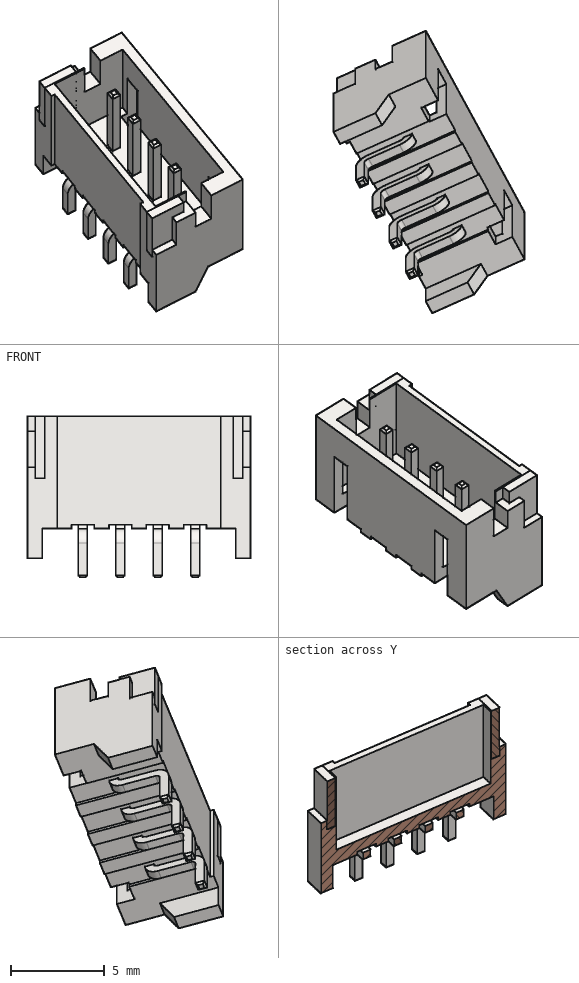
import cadquery as cq


width = 11.9
depth = 5.5
height = 6.0

side_wall = 1.0
end_wall = 0.6
floor_thickness = side_wall

foot_width = 0.8
foot_drop = 1.6
foot_bottom_depth = 2.5
foot_top_depth = 3.3

recess_inset = 1.6
recess_depth = 0.2

notch_front = 2.5
notch_length = 1.0
notch_depth = 2.0

window_inset = 1.48
window_width = 1.0
window_reach = 0.4
window_top = height - notch_depth

plate_inset = 0.4
plate_thickness = 0.52
plate_depth = 2.0
plate_height = 3.32

rim_drop = 0.8
relief_depth = 1.29
relief_drop = 2.71

pin_count = 4
pin_pitch = 2.0
pin_size = 0.5
pin_center_y = 3.09
pin_tip_gap = 0.4
pin_tail_drop = 2.61
pin_chamfer = 0.12
bend_inner_radius = 0.25
bend_outer_radius = bend_inner_radius + pin_size

groove_width = 1.2
groove_height = 0.2

side_signs = (-1, 1)
pin_positions = [(i - (pin_count - 1) / 2) * pin_pitch for i in range(pin_count)]


def box(x_min, x_max, y_min, y_max, z_min, z_max):
    """Axis-aligned block between the given limits."""
    size = (x_max - x_min, y_max - y_min, z_max - z_min)
    return cq.Workplane("XY").box(*size, centered=False).translate((x_min, y_min, z_min))


def side_box(side, inset, thickness, y_min, y_max, z_min, z_max):
    """Block at one end of the housing, starting a given inset from its outer face."""
    outer_x = side * (width / 2 - inset)
    inner_x = outer_x - side * thickness
    return box(min(outer_x, inner_x), max(outer_x, inner_x), y_min, y_max, z_min, z_max)


def make_foot(side):
    """Foot with a sloped rear edge, flush with one end of the housing."""
    profile = [
        (0, 0),
        (0, -foot_drop),
        (foot_bottom_depth, -foot_drop),
        (foot_top_depth, 0),
    ]
    foot_center_x = side * (width - foot_width) / 2
    foot = cq.Workplane("YZ").polyline(profile).close().extrude(foot_width / 2, both=True)
    return foot.translate((foot_center_x, 0, 0))


def make_plate(side):
    """Plain rectangular retainer plate at one end of the housing."""
    return side_box(side, plate_inset, plate_thickness, 0, plate_depth, height - plate_height, height)


def cut_side_details(housing, side):
    """Cut the rim notch, the plate slot with its relief and the window at one end."""
    notch_back = notch_front + notch_length
    plate_inner = plate_inset + plate_thickness
    window_front = depth - end_wall - window_reach
    housing = housing.cut(side_box(side, 0, side_wall, notch_front, notch_back, height - notch_depth, height))
    housing = housing.cut(side_box(side, 0, plate_inner, 0, notch_front, height - rim_drop, height))
    housing = housing.cut(side_box(side, 0, plate_inset, 0, relief_depth, height - relief_drop, height))
    housing = housing.cut(make_plate(side))
    return housing.cut(side_box(side, window_inset, window_width, window_front, depth, 0, window_top))


def make_pin(x):
    """Square wire: upright contact, bend to the front, bend down into the tail."""
    contact_front = pin_center_y - pin_size / 2
    contact_back = pin_center_y + pin_size / 2
    tip_z = height - pin_tip_gap
    run_top = 0
    run_bottom = run_top - pin_size
    profile = (
        cq.Workplane("YZ")
        .moveTo(0, -pin_tail_drop)
        .lineTo(0, run_top - bend_outer_radius)
        .radiusArc((bend_outer_radius, run_top), bend_outer_radius)
        .lineTo(contact_front - bend_inner_radius, run_top)
        .radiusArc((contact_front, run_top + bend_inner_radius), -bend_inner_radius)
        .lineTo(contact_front, tip_z)
        .lineTo(contact_back, tip_z)
        .lineTo(contact_back, run_bottom + bend_outer_radius)
        .radiusArc((contact_back - bend_outer_radius, run_bottom), bend_outer_radius)
        .lineTo(bend_outer_radius, run_bottom)
        .radiusArc((pin_size, run_bottom - bend_inner_radius), -bend_inner_radius)
        .lineTo(pin_size, -pin_tail_drop)
        .close()
    )
    pin = profile.extrude(pin_size / 2, both=True)
    pin = pin.faces(">Z or <Z").chamfer(pin_chamfer)
    return pin.translate((x, 0, 0))


def make_housing(pins):
    """Open-topped housing with recesses that match the pins and plates."""
    housing = box(-width / 2, width / 2, 0, depth, 0, height)
    cavity_half = width / 2 - side_wall
    housing = housing.cut(box(-cavity_half, cavity_half, end_wall, depth - end_wall, floor_thickness, height))
    recess_half = width / 2 - recess_inset
    housing = housing.cut(box(-recess_half, recess_half, 0, recess_depth, 0, height))
    for side in side_signs:
        housing = housing.union(make_foot(side))
        housing = cut_side_details(housing, side)
    for x in pin_positions:
        housing = housing.cut(box(x - groove_width / 2, x + groove_width / 2, 0, depth, 0, groove_height))
    for pin in pins:
        housing = housing.cut(pin)
    return housing


pins = [make_pin(x) for x in pin_positions]
plates = [make_plate(side) for side in side_signs]
housing = make_housing(pins)

result = cq.Compound.makeCompound(
    [body.solids().val() for body in [housing, *plates, *pins]]
)